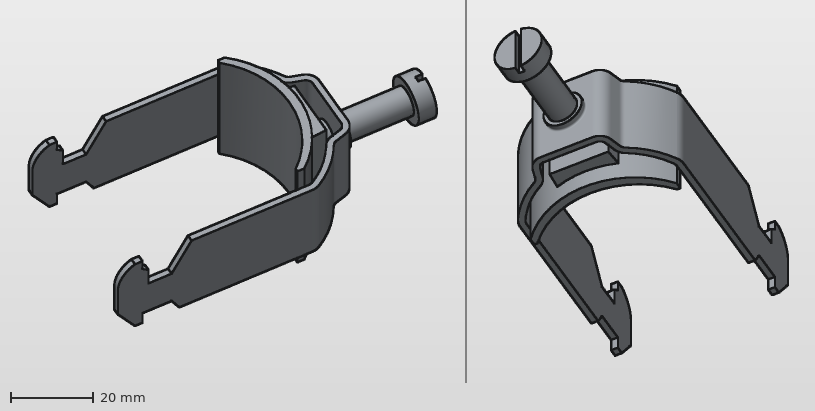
import cadquery as cq
import math


band_width = 45.0
band_height = 23.2
band_back = 72.0
sheet = 1.85
crown_corner_radius = 3.75
crown_corner_turn = 73.5
crown_side_length = 3.1
neck_radius = 2.0
shoulder_radius = 25.4
shoulder_start_angle = 29.6
shoulder_end_angle = 59.5
leg_bend_radius = 4.3
leg_overrun = 5.0

collar_diameter = 10.5
collar_height = 2.0
collar_root_fillet = 0.5

upper_shoulder_y = 20.4
lower_shoulder_y = 17.0
neck_y = 14.9
neck_top = 2.3
neck_bottom = -8.0
hook_back_y = 6.85
hook_step_y = 8.55
hook_step_z = 7.3
hook_step_rise = 1.3
nose_y = 4.75
nose_top = 4.3
nose_bottom = -4.55

screw_diameter = 8.0
screw_end = 97.0
head_diameter = 13.0
head_length = 5.0
slot_width = 1.5
slot_depth = 2.0

saddle_width = 40.2
saddle_height = 34.2
saddle_center_z = 0.6
saddle_back_radius = 26.0
saddle_inner_radius = 25.3
saddle_apex = 62.4
saddle_thickness = 2.6
saddle_front = 51.0
block_height = 23.6
block_back = 65.6
block_back_width = 16.1
block_front_width = 16.8


def sine(angle):
    return math.sin(math.radians(angle))


def cosine(angle):
    return math.cos(math.radians(angle))


def arc_points(start, radius, heading_in, heading_out):
    """Middle and end of an arc; headings are degrees below +X, falling headings bend outwards."""
    signed_radius = math.copysign(radius, heading_out - heading_in)
    center_x = start[0] - signed_radius * sine(heading_in)
    center_y = start[1] - signed_radius * cosine(heading_in)
    middle, end = [
        (center_x + signed_radius * sine(heading), center_y + signed_radius * cosine(heading))
        for heading in ((heading_in + heading_out) / 2, heading_out)
    ]
    return middle, end


def band_region(inset):
    """Region inside the band's outer face moved inwards by inset, in the XY plane."""
    crown_half = (
        band_width / 2
        - crown_corner_radius * sine(crown_corner_turn)
        - crown_side_length * cosine(crown_corner_turn)
        - neck_radius * (sine(crown_corner_turn) - sine(shoulder_start_angle))
        - shoulder_radius * (sine(shoulder_end_angle) - sine(shoulder_start_angle))
        - leg_bend_radius * (1 - sine(shoulder_end_angle))
    )
    lower_bends = [
        (neck_radius + inset, crown_corner_turn, shoulder_start_angle),
        (shoulder_radius - inset, shoulder_start_angle, shoulder_end_angle),
        (leg_bend_radius - inset, shoulder_end_angle, 90),
    ]

    crown_y = band_back - inset
    crown_end = (crown_half, crown_y)
    middle, corner_end = arc_points(crown_end, crown_corner_radius - inset, 0, crown_corner_turn)
    point = (
        corner_end[0] + crown_side_length * cosine(crown_corner_turn),
        corner_end[1] - crown_side_length * sine(crown_corner_turn),
    )
    half = (
        cq.Workplane("XY")
        .moveTo(0, crown_y)
        .lineTo(*crown_end)
        .threePointArc(middle, corner_end)
        .lineTo(*point)
    )
    for radius, heading_in, heading_out in lower_bends:
        middle, point = arc_points(point, radius, heading_in, heading_out)
        half = half.threePointArc(middle, point)
    half = half.lineTo(point[0], -leg_overrun).lineTo(0, -leg_overrun)
    return half.mirrorY().extrude(band_height / 2, both=True)


def leg_side_profile():
    """Side outline of the strip with its hook, extruded across the whole band width."""
    top = band_height / 2
    nose_rise = top - nose_top
    nose_radius = (nose_y**2 + nose_rise**2) / (2 * nose_y)
    return (
        cq.Workplane("YZ")
        .moveTo(band_back, top)
        .lineTo(upper_shoulder_y, top)
        .lineTo(neck_y, neck_top)
        .lineTo(hook_step_y, neck_top)
        .lineTo(hook_step_y, hook_step_z)
        .lineTo(hook_back_y, hook_step_z + hook_step_rise)
        .lineTo(hook_back_y, top)
        .lineTo(nose_y, top)
        .radiusArc((0, nose_top), -nose_radius)
        .lineTo(0, nose_bottom)
        .lineTo(nose_y, -top)
        .lineTo(hook_back_y, -top)
        .lineTo(hook_back_y, neck_bottom)
        .lineTo(neck_y, neck_bottom)
        .lineTo(lower_shoulder_y, -top)
        .lineTo(band_back, -top)
        .close()
        .extrude(band_width / 2, both=True)
    )


def along_screw(diameter, y_start, y_end):
    """Cylinder on the screw axis between two Y positions."""
    return (
        cq.Workplane("XZ", origin=(0, y_start, 0))
        .circle(diameter / 2)
        .extrude(-(y_end - y_start))
    )


def make_band():
    strip = band_region(0).cut(band_region(sheet)).intersect(leg_side_profile())
    collar_top = band_back + collar_height
    collar_radius = collar_diameter / 2
    collar = (
        cq.Workplane("XY")
        .moveTo(0, band_back)
        .lineTo(collar_radius + collar_root_fillet, band_back)
        .radiusArc((collar_radius, band_back + collar_root_fillet), collar_root_fillet)
        .lineTo(collar_radius, collar_top)
        .lineTo(0, collar_top)
        .close()
        .revolve(360, (0, 0, 0), (0, 1, 0))
    )
    return strip.union(collar).cut(along_screw(screw_diameter, block_back, collar_top))


def make_screw():
    head_start = screw_end - head_length
    shank = along_screw(screw_diameter, block_back, head_start)
    head = along_screw(head_diameter, head_start, screw_end)
    slot = cq.Workplane("XY").box(slot_width, 2 * slot_depth, head_diameter)
    return shank.union(head).cut(slot.translate((0, screw_end, 0)))


def saddle_cylinder(radius, apex):
    """Full-height cylinder along Z whose rearmost line is at Y = apex."""
    return (
        cq.Workplane("XY", origin=(0, apex - radius, saddle_center_z))
        .circle(radius)
        .extrude(saddle_height / 2, both=True)
    )


def make_saddle():
    depth = saddle_apex - saddle_front
    envelope = cq.Workplane("XY").box(saddle_width, depth, saddle_height)
    envelope = envelope.translate((0, saddle_front + depth / 2, saddle_center_z))
    outside = saddle_cylinder(saddle_back_radius, saddle_apex)
    inside = saddle_cylinder(saddle_inner_radius, saddle_apex - saddle_thickness)
    return outside.cut(inside).intersect(envelope)


def make_block():
    """Tapered block between the screw end and the curved back of the saddle."""
    half_front = block_front_width / 2
    front = saddle_apex - saddle_back_radius + math.sqrt(saddle_back_radius**2 - half_front**2)
    return (
        cq.Workplane("XY", origin=(0, 0, saddle_center_z))
        .moveTo(-half_front, front)
        .threePointArc((0, saddle_apex), (half_front, front))
        .lineTo(block_back_width / 2, block_back)
        .lineTo(-block_back_width / 2, block_back)
        .close()
        .extrude(block_height / 2, both=True)
    )


band = make_band()
screw = make_screw()
saddle = make_saddle()
block = make_block()

result = cq.Compound.makeCompound([band.val(), screw.val(), saddle.val(), block.val()])